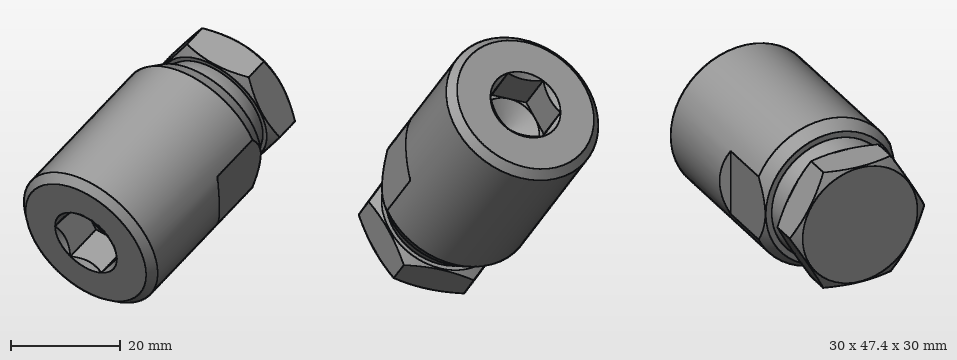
import cadquery as cq
import math

total_length = 47.4
front_y = -total_length / 2
back_y = total_length / 2

housing_diameter = 30.0
housing_radius = housing_diameter / 2
housing_length = 36.02
housing_back_y = front_y + housing_length
front_chamfer = 1.5
back_chamfer_length = 2.7
back_chamfer_angle = 30.0
flat_width = 27.0
flat_length = 13.7
cutter_clearance = 0.47

socket_width = 12.0
socket_depth = 8.0
socket_corner_diameter = socket_width / math.cos(math.pi / 6)
countersink_angle = 45.0
drill_point_angle = 118.0

nut_width = 24.0
nut_thickness = 7.2
nut_corner_diameter = nut_width / math.cos(math.pi / 6)
nut_front_y = back_y - nut_thickness
nut_face_radius = 11.8
nut_chamfer_angle = 30.0
dome_base_radius = 12.25
dome_radius = 12.32


def plane_at(y):
    """Plane across the axis at y, with its normal along +Y and its local x along +X."""
    return cq.Workplane(cq.Plane(origin=(0, y, 0), xDir=(1, 0, 0), normal=(0, 1, 0)))


def revolve_about_y(profile):
    """Revolve a closed (radius, y) profile around the Y axis."""
    return profile.close().revolve(360, (0, 0, 0), (0, 1, 0))


def make_socket():
    """Hexagon socket with a countersunk mouth and a round drill point at its floor."""
    hexagon = plane_at(front_y).polygon(6, socket_corner_diameter).extrude(socket_depth)

    mouth_radius = socket_corner_diameter / 2
    mouth_depth = mouth_radius / math.tan(math.radians(countersink_angle))
    mouth = revolve_about_y(
        cq.Workplane("XY").moveTo(0, front_y).lineTo(mouth_radius, front_y).lineTo(0, front_y + mouth_depth)
    )

    floor_y = front_y + socket_depth
    drill_radius = socket_width / 2
    point_depth = drill_radius / math.tan(math.radians(drill_point_angle / 2))
    drill_point = revolve_about_y(
        cq.Workplane("XY").moveTo(0, floor_y).lineTo(drill_radius, floor_y).lineTo(0, floor_y + point_depth)
    )
    return hexagon.union(mouth).union(drill_point)


def make_flat_cutter(side):
    """Material beyond one wrench flat, ending in a 45 degree run-out; side is -1 or 1."""
    flat_x = flat_width / 2
    flat_end_y = housing_back_y - flat_length
    run_out = housing_radius - flat_x + cutter_clearance
    outer_x = flat_x + run_out
    points = [
        (side * flat_x, housing_back_y),
        (side * flat_x, flat_end_y),
        (side * outer_x, flat_end_y - run_out),
        (side * outer_x, housing_back_y),
    ]
    return cq.Workplane("XY").polyline(points).close().extrude(housing_radius, both=True)


def make_housing():
    """Chamfered cylinder with two wrench flats and a hexagon socket."""
    back_chamfer_width = back_chamfer_length * math.tan(math.radians(back_chamfer_angle))
    body = revolve_about_y(
        cq.Workplane("XY")
        .moveTo(0, front_y)
        .lineTo(housing_radius - front_chamfer, front_y)
        .lineTo(housing_radius, front_y + front_chamfer)
        .lineTo(housing_radius, housing_back_y - back_chamfer_length)
        .lineTo(housing_radius - back_chamfer_width, housing_back_y)
        .lineTo(0, housing_back_y)
    )
    for side in (-1, 1):
        body = body.cut(make_flat_cutter(side))
    return body.cut(make_socket())


def make_dome():
    """Spherical shoulder from the housing end up to the nut."""
    center_y = housing_back_y - math.sqrt(dome_radius**2 - dome_base_radius**2)

    def radius_at(y):
        return math.sqrt(dome_radius**2 - (y - center_y) ** 2)

    middle_y = (housing_back_y + nut_front_y) / 2
    return revolve_about_y(
        cq.Workplane("XY")
        .moveTo(0, housing_back_y)
        .lineTo(dome_base_radius, housing_back_y)
        .threePointArc((radius_at(middle_y), middle_y), (radius_at(nut_front_y), nut_front_y))
        .lineTo(0, nut_front_y)
    )


def make_nut():
    """Hexagon nut, corners chamfered at both ends, carrying the spherical shoulder."""
    hexagon = plane_at(nut_front_y).polygon(6, nut_corner_diameter).extrude(nut_thickness)
    corner_radius = nut_corner_diameter / 2
    chamfer_depth = (corner_radius - nut_face_radius) * math.tan(math.radians(nut_chamfer_angle))
    chamfered_disc = revolve_about_y(
        cq.Workplane("XY")
        .moveTo(0, nut_front_y)
        .lineTo(nut_face_radius, nut_front_y)
        .lineTo(corner_radius, nut_front_y + chamfer_depth)
        .lineTo(corner_radius, back_y - chamfer_depth)
        .lineTo(nut_face_radius, back_y)
        .lineTo(0, back_y)
    )
    return hexagon.intersect(chamfered_disc).union(make_dome())


housing = make_housing()
nut = make_nut()

result = cq.Compound.makeCompound([housing.solids().val(), nut.solids().val()])